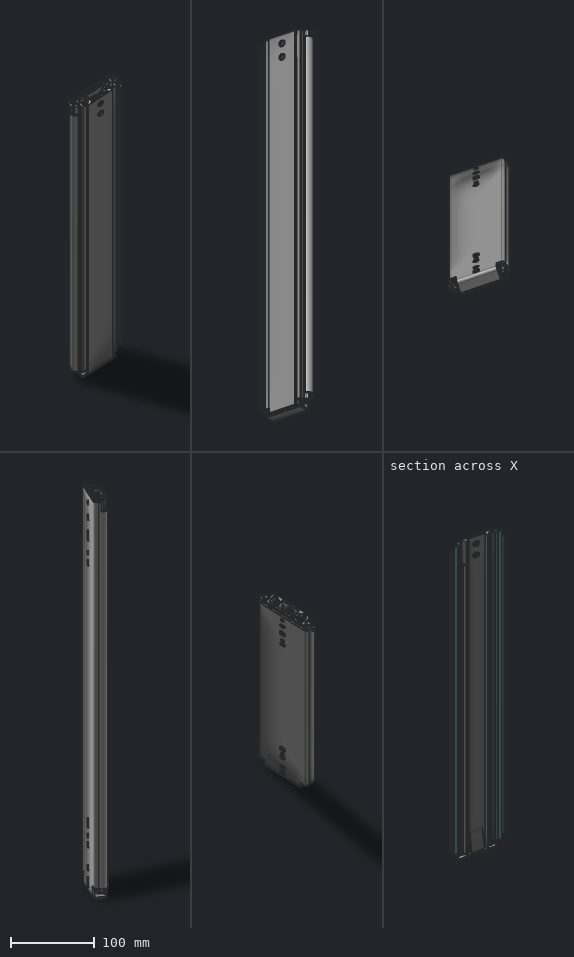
import cadquery as cq
import math


LENGTH = 508.0
SLIDE_DEPTH = 20.0
SLIDE_HEIGHT = 76.0
SHEET = 2.5

BALL_X = 10.5
BALL_RADIUS = 4.5
DOME_RADIUS = BALL_RADIUS + SHEET
BALL_Y = SLIDE_HEIGHT / 2 - DOME_RADIUS

OUTER_BOTTOM = 17.0
FLANGE_Y = 35.5
FLANGE_DROP = 3.5
FLANGE_ANGLE = 18.0
LIP_Y = 33.0
CORNER_RADIUS = 3.0
TAB_WIDTH = 51.5
TAB_REACH = 17.5
TAB_BEND_RADIUS = 4.0
NOTCH_X = 8.5
NOTCH_LENGTH = 11.0

MIDDLE_BOTTOM = 10.5
MIDDLE_BACK = 4.5
MIDDLE_FRONT = 18.5
MIDDLE_TOP_Y = 27.5
MIDDLE_CORNER = 1.5
MIDDLE_LEG_Y = 20.5

INNER_BOTTOM = 3.0
INNER_WEB_BACK = SLIDE_DEPTH - SHEET
INNER_TOP_Y = 19.5
INNER_GROOVE_Y = 14.5
INNER_TIP_X = 9.0
INNER_TIP_Y = 16.0
WEB_HOLE = 8.0
STOP_WIDTH = 17.5
STOP_DEPTH = 5.0
STOP_HEIGHT = 30.5

CAGE_SHEET = 1.0
OUTER_CAGE_BACK = 3.0
OUTER_CAGE_SHELF_Y = 29.0
OUTER_CAGE_TOP_Y = 33.0
OUTER_CAGE_BEAD = 4.0
INNER_CAGE_BOTTOM = 6.0
INNER_CAGE_TOP = 472.5
INNER_CAGE_BACK = 7.5
INNER_CAGE_FRONT = 16.0
INNER_CAGE_Y = 19.0

SMALL_HOLE = 5.0
SMALL_HOLE_HEIGHTS = [72.0, 432.0, 496.0]
SCREW_HOLE = 7.0
SCREW_HOLE_HEIGHTS = [31.5, 60.5, 419.0, 477.0]
SLOT_LENGTH = 12.5
SLOT_HEIGHTS = [13.0, 88.5, 453.5]

PILOT_HOLE = 5.0
PILOT_HEIGHTS = [477.5, 496.0]


def extruded(profile, bottom, top=LENGTH):
    """Extrude a closed XY profile between two heights."""
    return profile.close().extrude(top - bottom).translate((0, 0, bottom))


def with_mirror(half):
    """Join a half section (Y > 0) to its mirror image about the XZ plane."""
    return half.union(half.mirror("XZ"))


def cross_holes(diameter, heights):
    """Round cutters along X through the whole slide."""
    points = [(0, height) for height in heights]
    return cq.Workplane("YZ").pushPoints(points).circle(diameter / 2).extrude(SLIDE_DEPTH)


def arc_offset(radius, y):
    """Half width of a ball-track circle of the given radius at height y."""
    return math.sqrt(radius**2 - (y - BALL_Y) ** 2)


def outer_profile_half():
    """Web, bent corner, sloping flange and domed ball track, as one sheet."""
    angle = math.radians(FLANGE_ANGLE)
    bend_y = FLANGE_Y - FLANGE_DROP
    inner_radius = CORNER_RADIUS - SHEET
    inner_flange_y = FLANGE_Y - SHEET

    def bend_end(radius):
        return CORNER_RADIUS - radius * math.sin(angle), bend_y + radius * math.cos(angle)

    return (
        cq.Workplane("XY")
        .moveTo(0, 0)
        .lineTo(0, bend_y)
        .radiusArc(bend_end(CORNER_RADIUS), CORNER_RADIUS)
        .lineTo(BALL_X - arc_offset(DOME_RADIUS, FLANGE_Y), FLANGE_Y)
        .threePointArc(
            (BALL_X, SLIDE_HEIGHT / 2),
            (BALL_X + arc_offset(DOME_RADIUS, LIP_Y), LIP_Y),
        )
        .lineTo(BALL_X + arc_offset(BALL_RADIUS, LIP_Y), LIP_Y)
        .threePointArc(
            (BALL_X, BALL_Y + BALL_RADIUS),
            (BALL_X - arc_offset(BALL_RADIUS, inner_flange_y), inner_flange_y),
        )
        .lineTo(*bend_end(inner_radius))
        .radiusArc((SHEET, bend_y), -inner_radius)
        .lineTo(SHEET, 0)
    )


def end_tab():
    """Narrow extension of the outer web, bent forward at the bottom."""
    return (
        cq.Workplane("XZ")
        .moveTo(0, OUTER_BOTTOM)
        .lineTo(0, TAB_BEND_RADIUS)
        .radiusArc((TAB_BEND_RADIUS, 0), -TAB_BEND_RADIUS)
        .lineTo(TAB_REACH, 0)
        .lineTo(TAB_REACH, SHEET)
        .lineTo(TAB_BEND_RADIUS, SHEET)
        .radiusArc((SHEET, TAB_BEND_RADIUS), TAB_BEND_RADIUS - SHEET)
        .lineTo(SHEET, OUTER_BOTTOM)
        .close()
        .extrude(TAB_WIDTH / 2, both=True)
    )


def outer_slots():
    points = [(0, height) for height in SLOT_HEIGHTS]
    return cq.Workplane("YZ").pushPoints(points).slot2D(SLOT_LENGTH, SCREW_HOLE, 90).extrude(SHEET)


def outer_rail():
    rail = with_mirror(extruded(outer_profile_half(), OUTER_BOTTOM)).union(end_tab())
    lip_notches = (
        cq.Workplane("XY")
        .box(SLIDE_DEPTH - NOTCH_X, SLIDE_HEIGHT, NOTCH_LENGTH, centered=(False, True, False))
        .translate((NOTCH_X, 0, LENGTH - NOTCH_LENGTH))
    )
    return (
        rail.cut(lip_notches)
        .cut(cross_holes(SMALL_HOLE, SMALL_HOLE_HEIGHTS))
        .cut(cross_holes(SCREW_HOLE, SCREW_HOLE_HEIGHTS))
        .cut(outer_slots())
    )


def middle_profile_half():
    """Web and flange with a shallow ball groove outside and a leg at the front."""
    groove_half = arc_offset(BALL_RADIUS, MIDDLE_TOP_Y)
    under_y = BALL_Y - DOME_RADIUS
    return (
        cq.Workplane("XY")
        .moveTo(MIDDLE_BACK, 0)
        .lineTo(MIDDLE_BACK, MIDDLE_TOP_Y)
        .lineTo(BALL_X - groove_half, MIDDLE_TOP_Y)
        .threePointArc(
            (BALL_X, BALL_Y - BALL_RADIUS),
            (BALL_X + groove_half, MIDDLE_TOP_Y),
        )
        .lineTo(MIDDLE_FRONT - MIDDLE_CORNER, MIDDLE_TOP_Y)
        .lineTo(MIDDLE_FRONT, MIDDLE_TOP_Y - MIDDLE_CORNER)
        .lineTo(MIDDLE_FRONT, MIDDLE_LEG_Y)
        .lineTo(MIDDLE_FRONT - SHEET, MIDDLE_LEG_Y)
        .lineTo(MIDDLE_FRONT - SHEET, under_y)
        .lineTo(MIDDLE_BACK + SHEET, under_y)
        .lineTo(MIDDLE_BACK + SHEET, 0)
    )


def middle_rail():
    rail = with_mirror(extruded(middle_profile_half(), MIDDLE_BOTTOM))
    return rail.cut(cross_holes(PILOT_HOLE, PILOT_HEIGHTS))


def inner_profile_half():
    """Front web and a flange with a raised rear tip, leaving a ball groove between them."""
    return (
        cq.Workplane("XY")
        .moveTo(SLIDE_DEPTH, 0)
        .lineTo(SLIDE_DEPTH, INNER_TOP_Y)
        .lineTo(INNER_WEB_BACK, INNER_TOP_Y)
        .lineTo(INNER_WEB_BACK - SHEET, INNER_GROOVE_Y)
        .lineTo(INNER_TIP_X + SHEET, INNER_GROOVE_Y)
        .lineTo(INNER_TIP_X, INNER_TIP_Y)
        .lineTo(INNER_TIP_X, INNER_GROOVE_Y - SHEET)
        .lineTo(INNER_WEB_BACK, INNER_GROOVE_Y - SHEET)
        .lineTo(INNER_WEB_BACK, 0)
    )


def ramp_stop():
    """Steep wedge on the inside of the inner web, thickest at the bottom end."""
    return (
        cq.Workplane("XZ")
        .moveTo(INNER_WEB_BACK, INNER_BOTTOM)
        .lineTo(INNER_WEB_BACK - STOP_DEPTH, INNER_BOTTOM)
        .lineTo(INNER_WEB_BACK, INNER_BOTTOM + STOP_HEIGHT)
        .close()
        .extrude(STOP_WIDTH / 2, both=True)
    )


def inner_rail():
    rail = with_mirror(extruded(inner_profile_half(), INNER_BOTTOM)).union(ramp_stop())
    return rail.cut(cross_holes(WEB_HOLE, PILOT_HEIGHTS))


def outer_cage():
    """Channel behind the intermediate rail, with a rounded bead running in each outer ball track."""
    half_bead = OUTER_CAGE_BEAD / 2
    shelf_under_y = OUTER_CAGE_SHELF_Y - CAGE_SHEET
    profile_half = (
        cq.Workplane("XY")
        .moveTo(OUTER_CAGE_BACK, 0)
        .lineTo(OUTER_CAGE_BACK, OUTER_CAGE_SHELF_Y)
        .lineTo(BALL_X - half_bead, OUTER_CAGE_SHELF_Y)
        .lineTo(BALL_X - half_bead, OUTER_CAGE_TOP_Y - half_bead)
        .threePointArc(
            (BALL_X, OUTER_CAGE_TOP_Y),
            (BALL_X + half_bead, OUTER_CAGE_TOP_Y - half_bead),
        )
        .lineTo(BALL_X + half_bead, shelf_under_y)
        .lineTo(OUTER_CAGE_BACK + CAGE_SHEET, shelf_under_y)
        .lineTo(OUTER_CAGE_BACK + CAGE_SHEET, 0)
    )
    cage = with_mirror(extruded(profile_half, MIDDLE_BOTTOM))
    return cage.cut(cross_holes(PILOT_HOLE, PILOT_HEIGHTS))


def inner_cage():
    """Plain channel between the intermediate rail and the inner rail."""
    flange_under_y = INNER_CAGE_Y - CAGE_SHEET
    profile_half = (
        cq.Workplane("XY")
        .moveTo(INNER_CAGE_BACK, 0)
        .lineTo(INNER_CAGE_BACK, INNER_CAGE_Y)
        .lineTo(INNER_CAGE_FRONT, INNER_CAGE_Y)
        .lineTo(INNER_CAGE_FRONT, flange_under_y)
        .lineTo(INNER_CAGE_BACK + CAGE_SHEET, flange_under_y)
        .lineTo(INNER_CAGE_BACK + CAGE_SHEET, 0)
    )
    return with_mirror(extruded(profile_half, INNER_CAGE_BOTTOM, INNER_CAGE_TOP))


bodies = [outer_rail(), middle_rail(), inner_rail(), outer_cage(), inner_cage()]

result = cq.Compound.makeCompound([body.val() for body in bodies])